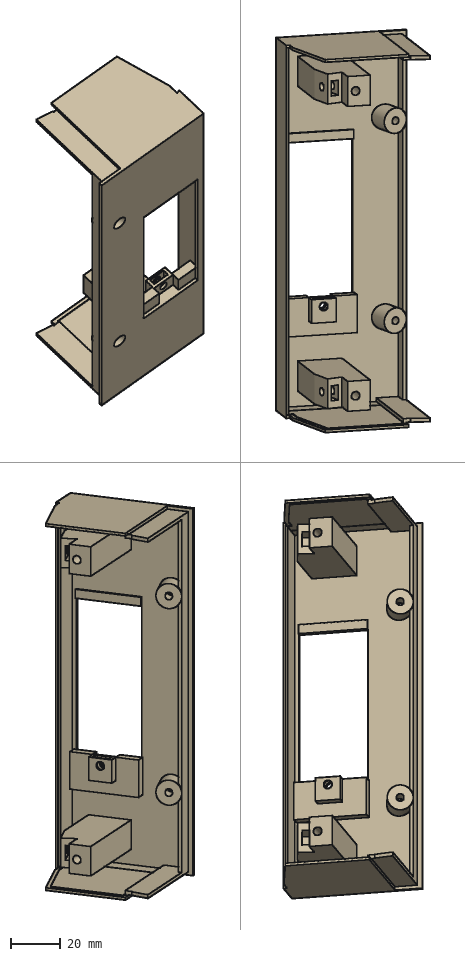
import cadquery as cq
import math

LENGTH_X = 44.24
DEPTH_Y = 54.53
HEIGHT_Z = 154.7
WALL = 1.5
LEAN = math.radians(15)
TAN_LEAN = math.tan(LEAN)

TOP_Z = HEIGHT_Z / 2
PANEL_X = LENGTH_X - WALL
REAR_Y = DEPTH_Y - WALL

PLATE_FRONT_Y = 11.3
PLATE_OPEN_REAR_Y = 46.4
LIP_WIDTH = 1.8
FLOOR_THICKNESS = 1.4
LIP_THICKNESS = 1.15

REAR_WALL_X = 29.1
REAR_LIP_THICKNESS = 0.8

FRONT_Y = 2.0
TAB_FRONT_X = 1.5
TAB_STEP_X = 2.8
TAB_STEP_Y = 9.8
TAB_REAR_X = 3.2
TAB_OVERLAP = 1.5
RIM_X = 36.1

WINDOW_FRONT_Y = 22.6
WINDOW_REAR_Y = 51.3
WINDOW_TOP_Z = 33.9
BAR_HEIGHT = 3.8
BAR_THICKNESS = 1.0

BRACKET_X = 38.5
BRACKET_FRONT_Y = 22.1
BRACKET_REAR_Y = 52.3
BRACKET_TOP_Z = -30.0
BRACKET_HEIGHT = 15.8
BOX_X = 34.4
BOX_FRONT_Y = 32.1
BOX_WIDTH = 10.25
BOX_HEIGHT = 9.8
BOX_WALL = 0.9
NOTCH_DEPTH = 7.0
BOX_NUT_WIDTH = 7.2
BOX_NUT_THICKNESS = 2.6
BRACKET_HOLE_DIAMETER = 3.45
BRACKET_HOLE_DROP = 3.15

POST_Z = 63.2
POST_HEIGHT = 12.4
POST_X = 1.5
POST_FRONT_Y = 27.2
POST_REAR_Y = 45.9
POST_NOTCH_X = 9.7
POST_NOTCH_Y = 36.7
POST_SLOPE_Y = 43.2
POST_HOLE_Y = 33.3
POST_HOLE_DIAMETER = 3.45
POST_HOLE_DEPTH = 10.0
CROSS_HOLE_DIAMETER = 3.17
CROSS_HOLE_INSET = 4.7
CROSS_HOLE_DEPTH = 12.0
SLOT_THICKNESS = 3.2
SLOT_WIDTH = 6.2
SLOT_DEPTH = 8.6
SLOT_Y = 39.9

BOSS_HEIGHTS = (42.0, -40.9)
BOSS_TOP_X = 34.5
BOSS_TOP_Y = 7.05
BOSS_DIAMETER = 10.54
BOSS_HOLE_DIAMETER = 3.05
BOSS_HEAD_DIAMETER = 5.71
BOSS_HEAD_OFFSET = 7.0
BOSS_REACH = 20.0


def box(x0, x1, y0, y1, z0, z1):
    """Axis-aligned block between two corners."""
    return cq.Workplane("XY").box(x1 - x0, y1 - y0, z1 - z0, centered=False).translate((x0, y0, z0))


def prism(points, z0, z1):
    """Upright prism over an XY outline."""
    return cq.Workplane("XY", origin=(0, 0, z0)).polyline(points).close().extrude(z1 - z0)


def cylinder(start, direction, diameter, length):
    """Round bar from a start point along a direction."""
    return cq.Workplane(cq.Solid.makeCylinder(diameter / 2, length, cq.Vector(*start), cq.Vector(*direction)))


def both_ends(lower):
    """The given lower feature together with its mirror image at the top."""
    return lower.union(lower.mirror("XY"))


def end_plate():
    """Lower end plate, thinned to a lip along its open and sloping rear edges."""
    slope_end_x = (REAR_Y - PLATE_OPEN_REAR_Y) / TAN_LEAN
    outer = [
        (0, PLATE_FRONT_Y),
        (PANEL_X, PLATE_FRONT_Y),
        (PANEL_X, REAR_Y),
        (slope_end_x, REAR_Y),
        (0, PLATE_OPEN_REAR_Y),
    ]
    slope_shift = LIP_WIDTH / math.cos(LEAN)
    inner_rear_y = REAR_Y - LIP_WIDTH
    inner_slope_end_x = slope_end_x + (slope_shift - LIP_WIDTH) / TAN_LEAN
    inner = [
        (LIP_WIDTH, PLATE_FRONT_Y + LIP_WIDTH),
        (TAB_REAR_X, PLATE_FRONT_Y + LIP_WIDTH),
        (TAB_REAR_X, PLATE_FRONT_Y),
        (PANEL_X, PLATE_FRONT_Y),
        (PANEL_X, REAR_Y),
        (REAR_WALL_X + WALL, REAR_Y),
        (REAR_WALL_X + WALL, inner_rear_y),
        (inner_slope_end_x, inner_rear_y),
        (LIP_WIDTH, PLATE_OPEN_REAR_Y - slope_shift + LIP_WIDTH * TAN_LEAN),
    ]
    lip = prism(outer, -TOP_Z, -TOP_Z + LIP_THICKNESS)
    return lip.union(prism(inner, -TOP_Z, -TOP_Z + FLOOR_THICKNESS))


def floor_pad():
    """Slightly thicker strip where the lower end plate meets the face panel."""
    return box(RIM_X, PANEL_X, PLATE_FRONT_Y, REAR_Y, -TOP_Z, -TOP_Z + WALL)


def front_tab():
    """Lower front tab, lapped onto the inside of the end plate."""
    lap_y = PLATE_FRONT_Y + TAB_OVERLAP
    outline = [
        (TAB_FRONT_X, FRONT_Y),
        (PANEL_X, FRONT_Y),
        (PANEL_X, lap_y),
        (TAB_REAR_X, lap_y),
        (TAB_REAR_X, TAB_STEP_Y),
        (TAB_STEP_X, TAB_STEP_Y),
    ]
    return prism(outline, -TOP_Z + FLOOR_THICKNESS, -TOP_Z + 2 * WALL)


def rear_wall():
    """Rear wall whose free edge is stepped to a thin outer lip."""
    lip_y = DEPTH_Y - REAR_LIP_THICKNESS
    step_x = REAR_WALL_X + WALL
    outline = [
        (REAR_WALL_X, DEPTH_Y),
        (REAR_WALL_X + REAR_LIP_THICKNESS * TAN_LEAN, lip_y),
        (step_x - (lip_y - REAR_Y) * TAN_LEAN, lip_y),
        (step_x, REAR_Y),
        (PANEL_X, REAR_Y),
        (PANEL_X, DEPTH_Y),
    ]
    ledge = [
        (REAR_WALL_X, DEPTH_Y),
        (REAR_WALL_X + WALL * TAN_LEAN, REAR_Y),
        (PANEL_X, REAR_Y),
        (PANEL_X, DEPTH_Y),
    ]
    wall = prism(outline, -TOP_Z, TOP_Z)
    return wall.union(both_ends(prism(ledge, -TOP_Z, -TOP_Z + LIP_THICKNESS)))


def face_panel():
    """Face panel with its window, and the bar along the window's upper edge."""
    window_bottom_z = BRACKET_TOP_Z - NOTCH_DEPTH
    panel = box(PANEL_X, LENGTH_X, 0, DEPTH_Y, -TOP_Z, TOP_Z)
    panel = panel.cut(
        box(PANEL_X, LENGTH_X, WINDOW_FRONT_Y, WINDOW_REAR_Y, window_bottom_z, WINDOW_TOP_Z)
    )
    bar = box(
        PANEL_X - BAR_THICKNESS, PANEL_X,
        WINDOW_FRONT_Y, WINDOW_REAR_Y,
        WINDOW_TOP_Z, WINDOW_TOP_Z + BAR_HEIGHT,
    )
    return panel.union(bar)


def front_rim():
    """Low rim along the front, between the two end plates."""
    rim_z = TOP_Z - WALL
    return box(RIM_X, PANEL_X, FRONT_Y, FRONT_Y + WALL, -rim_z, rim_z)


def bracket():
    """Block below the window carrying a nut box that opens upward."""
    box_rear_y = BOX_FRONT_Y + BOX_WIDTH
    box_back_x = BRACKET_X + BOX_WALL
    middle_y = BOX_FRONT_Y + BOX_WIDTH / 2
    block = box(
        BRACKET_X, PANEL_X,
        BRACKET_FRONT_Y, BRACKET_REAR_Y,
        BRACKET_TOP_Z - BRACKET_HEIGHT, BRACKET_TOP_Z,
    )
    notch = box(box_back_x, PANEL_X, BOX_FRONT_Y, box_rear_y, BRACKET_TOP_Z - NOTCH_DEPTH, BRACKET_TOP_Z)
    nut_box = box(BOX_X, BRACKET_X, BOX_FRONT_Y, box_rear_y, BRACKET_TOP_Z - BOX_HEIGHT, BRACKET_TOP_Z)
    nut_x = BOX_X + BOX_WALL
    nut_pocket = box(
        nut_x, nut_x + BOX_NUT_THICKNESS,
        middle_y - BOX_NUT_WIDTH / 2, middle_y + BOX_NUT_WIDTH / 2,
        BRACKET_TOP_Z - BRACKET_HOLE_DROP - BOX_NUT_WIDTH / 2, BRACKET_TOP_Z,
    )
    hole_start = (BOX_X, middle_y, BRACKET_TOP_Z - BRACKET_HOLE_DROP)
    hole = cylinder(hole_start, (1, 0, 0), BRACKET_HOLE_DIAMETER, PANEL_X - BOX_X)
    return block.union(nut_box).cut(notch).cut(nut_pocket).cut(hole)


def post():
    """Lower post with a screw hole in its end, a sloping rear face and a nut slot."""
    notch_rise = POST_SLOPE_Y - POST_NOTCH_Y
    slope_x = POST_NOTCH_X - notch_rise * TAN_LEAN
    slope_end_x = slope_x + (POST_REAR_Y - POST_SLOPE_Y) / TAN_LEAN
    outline = [
        (POST_X, POST_FRONT_Y),
        (PANEL_X, POST_FRONT_Y),
        (PANEL_X, POST_REAR_Y),
        (slope_end_x, POST_REAR_Y),
        (slope_x, POST_SLOPE_Y),
        (POST_NOTCH_X, POST_NOTCH_Y),
        (POST_X, POST_NOTCH_Y),
    ]
    body = prism(outline, -POST_Z - POST_HEIGHT / 2, -POST_Z + POST_HEIGHT / 2)
    end_hole = cylinder((POST_X, POST_HOLE_Y, -POST_Z), (1, 0, 0), POST_HOLE_DIAMETER, POST_HOLE_DEPTH)

    along_slope = (math.cos(LEAN), math.sin(LEAN), 0)
    into_slope = (math.sin(LEAN), -math.cos(LEAN), 0)
    cross_start = (
        slope_x + CROSS_HOLE_INSET * along_slope[0],
        POST_SLOPE_Y + CROSS_HOLE_INSET * along_slope[1],
        -POST_Z,
    )
    cross_hole = cylinder(cross_start, into_slope, CROSS_HOLE_DIAMETER, CROSS_HOLE_DEPTH)

    slot_x = POST_NOTCH_X - (SLOT_Y - POST_NOTCH_Y) * TAN_LEAN
    slot_plane = cq.Plane(origin=(slot_x, SLOT_Y, -POST_Z), xDir=into_slope, normal=along_slope)
    slot = cq.Workplane(slot_plane).rect(SLOT_THICKNESS, SLOT_WIDTH).extrude(SLOT_DEPTH)
    return body.cut(end_hole).cut(cross_hole).cut(slot)


def boss_bar(z, diameter, offset=0.0):
    """Leaning round bar from a boss top (or deeper by offset), trimmed at the outer face of the panel."""
    axis = (math.cos(LEAN), math.sin(LEAN), 0)
    start = (BOSS_TOP_X + offset * axis[0], BOSS_TOP_Y + offset * axis[1], z)
    bar = cylinder(start, axis, diameter, BOSS_REACH)
    return bar.intersect(box(0, LENGTH_X, 0, DEPTH_Y, -TOP_Z, TOP_Z))


result = face_panel().union(rear_wall()).union(front_rim())
for lower_feature in (end_plate(), front_tab(), floor_pad(), post()):
    result = result.union(both_ends(lower_feature))
result = result.union(bracket())
for boss_z in BOSS_HEIGHTS:
    result = result.union(boss_bar(boss_z, BOSS_DIAMETER))
for boss_z in BOSS_HEIGHTS:
    result = result.cut(boss_bar(boss_z, BOSS_HOLE_DIAMETER))
    result = result.cut(boss_bar(boss_z, BOSS_HEAD_DIAMETER, BOSS_HEAD_OFFSET))